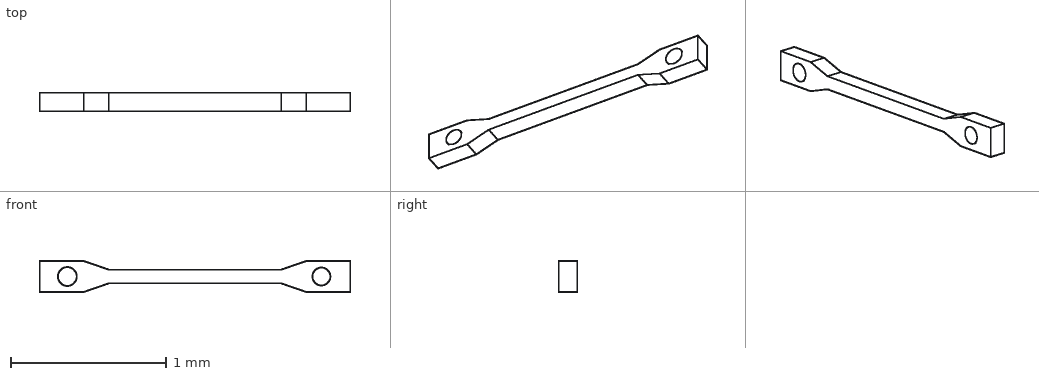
import cadquery as cq

length = 2.0
thickness = 0.12
pad_height = 0.2
bar_height = 0.09
pad_length = 0.285
taper_length = 0.16
left_hole_diameter = 0.12
right_hole_diameter = 0.114
left_hole_end_distance = 0.178
right_hole_end_distance = 0.186

end_x = length / 2
pad_x = end_x - pad_length
bar_x = pad_x - taper_length
left_hole_x = -end_x + left_hole_end_distance
right_hole_x = end_x - right_hole_end_distance


def make_link_body():
    """Flat link: two tall pads tapering into a slender bar, centred on the origin."""
    upper_right = [
        (bar_x, bar_height / 2),
        (pad_x, pad_height / 2),
        (end_x, pad_height / 2),
    ]
    lower_right = [(x, -z) for x, z in reversed(upper_right)]
    right_half = upper_right + lower_right
    left_half = [(-x, -z) for x, z in right_half]
    outline = cq.Workplane("XZ").polyline(right_half + left_half).close()
    return outline.extrude(thickness / 2, both=True)


def cut_pin_hole(body, x, diameter):
    """Through hole along Y, centred on the height of a pad."""
    pin = cq.Workplane("XZ").center(x, 0).circle(diameter / 2).extrude(thickness, both=True)
    return body.cut(pin)


link = make_link_body()
link = cut_pin_hole(link, left_hole_x, left_hole_diameter)
result = cut_pin_hole(link, right_hole_x, right_hole_diameter)